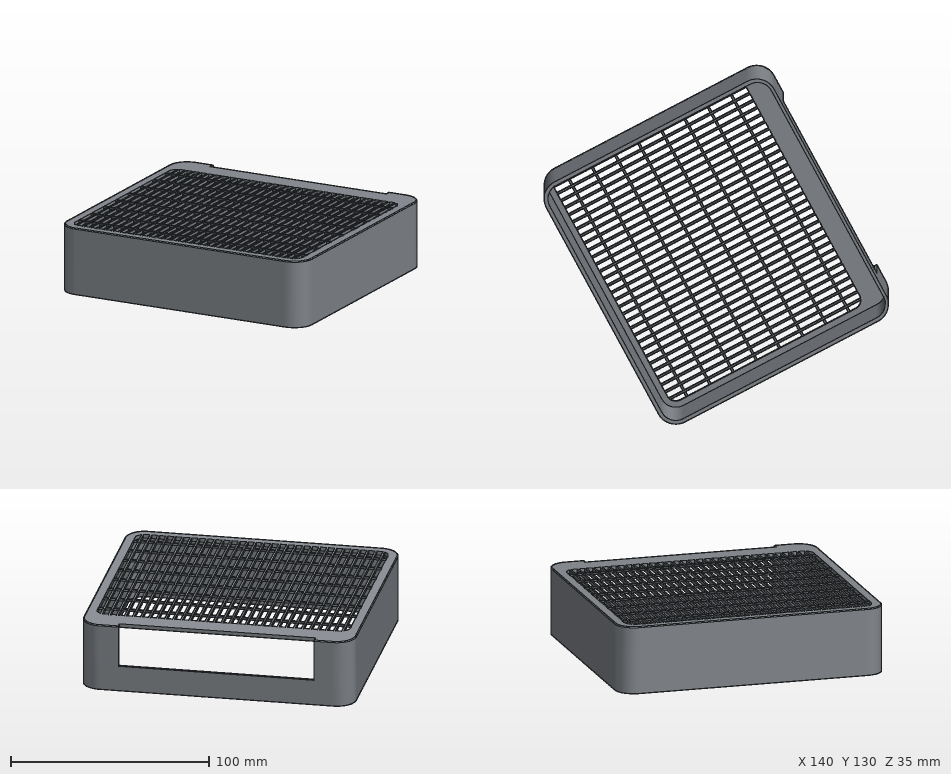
import cadquery as cq
length = 140.0
width = 130.0
height = 35.0
corner_radius = 10.0
wall = 2.0
back_wall = 1.5
plate = 2.0
top_chamfer = 0.5

rim = 5.0
back_rim = 15.1
opening_length = length - 2 * rim
opening_width = width - rim - back_rim
opening_y = (rim - back_rim) / 2
opening_radius = corner_radius - rim

bar_width = 1.05
long_bars = 31
long_gap = 3.1
long_pitch = long_gap + bar_width
long_depth = 1.5
cross_bars = 8
cross_gap = 12.2
cross_pitch = cross_gap + bar_width
cross_depth = 1.0
bar_anchor = 0.3

slot_length = 100.8
slot_width = 2.0
window_length = 100.4
window_bottom = 13.3


def rounded_block(x_size, y_size, z_size, radius):
    """Block standing on Z = 0 with rounded vertical corners."""
    return cq.Workplane("XY").rect(x_size, y_size).extrude(z_size).edges("|Z").fillet(radius)


def make_shell():
    """Box with a chamfered top edge, hollowed from below."""
    outer = rounded_block(length, width, height, corner_radius)
    outer = outer.faces(">Z").edges().chamfer(top_chamfer)
    cavity_width = width - wall - back_wall
    cavity = rounded_block(length - 2 * wall, cavity_width, height - plate, corner_radius - wall)
    return outer.cut(cavity.translate((0, (wall - back_wall) / 2, 0)))


def make_opening():
    """Prism that fills the grille opening."""
    opening = rounded_block(opening_length, opening_width, plate, opening_radius)
    return opening.translate((0, opening_y, height - plate))


def make_bars(x_pitch, y_pitch, x_count, y_count, x_size, y_size, depth):
    """Row of equal bars centred on the opening, with their upper faces flush with the plate."""
    return (
        cq.Workplane("XY", origin=(0, opening_y, height - depth))
        .rarray(x_pitch, y_pitch, x_count, y_count)
        .rect(x_size, y_size)
        .extrude(depth)
    )


def make_grille():
    """Long bars and cross bars; their ends reach into the plate."""
    long_size = opening_width + 2 * bar_anchor
    cross_size = opening_length + 2 * bar_anchor
    long_row = make_bars(long_pitch, 1.4, long_bars, 1, bar_width, long_size, long_depth)
    cross_row = make_bars(1.4, cross_pitch, 1, cross_bars, cross_size, bar_width, cross_depth)
    return long_row.union(cross_row)


def make_back_cut(x_size, y_size, inner_y):
    """Block that opens upward from the window bottom, starting at inner_y and running to +Y."""
    block = cq.Workplane("XY", origin=(0, inner_y + y_size / 2, window_bottom))
    return block.rect(x_size, y_size).extrude(height)


back_wall_y = width / 2 - back_wall
slot = make_back_cut(slot_length, slot_width, back_wall_y - slot_width)
window = make_back_cut(window_length, back_wall, back_wall_y)
result = make_shell().cut(make_opening()).union(make_grille()).cut(slot).cut(window)